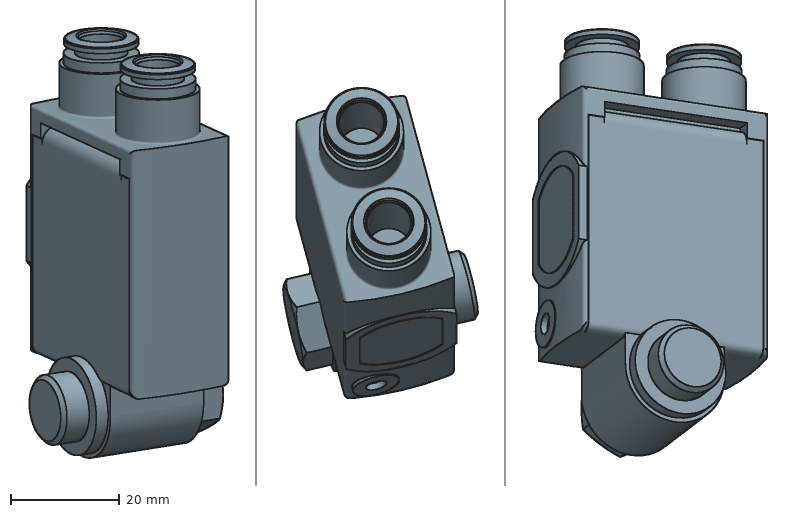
import cadquery as cq
import math

TOTAL_HEIGHT = 76.75

BODY_THICKNESS = 21.0
BODY_HALF_WIDTH = 19.5
BODY_CORNER_X = 18.6
BODY_BOTTOM = 15.4
BODY_TOP = 63.1
UPPER_RADIUS = 0.8
BOTTOM_RADIUS = 1.5
FRONT_Y = -BODY_THICKNESS / 2

LABEL_HALF_WIDTH = 17.65
LABEL_TOP = 57.5
LABEL_DEPTH = 0.2

SLOT_LENGTH = 28.7
SLOT_TOP = 60.5
LIP_TOP = 59.55
LIP_RADIUS = 3.1

FITTING_SPACING = 20.6
BARREL_DIAMETER = 15.5
FOOT_RADIUS = 0.4
BARREL_TOP = 71.5
COLLAR_DIAMETER = 14.0
COLLAR_TOP = 73.45
NECK_DIAMETER = 9.8
FLANGE_BOTTOM = 75.2
FLANGE_DIAMETER = 13.8
FLANGE_CROWN = 0.4
FLANGE_BEVEL = 0.2
BORE_DIAMETER = 8.2
MOUTH_DIAMETER = 8.6
MOUTH_CHAMFER = 0.3
MOUTH_DEPTH = 0.85

BOSS_FACE_X = -19.65
BOSS_ROOT_X = -17.95
LARGE_BOSS_DIAMETER = 25.5
LARGE_BOSS_Z = 40.1
PANEL_DIAMETER = 20.0
PANEL_WIDTH = 15.7
PANEL_DEPTH = 0.15
SMALL_BOSS_DIAMETER = 8.8
SMALL_BOSS_Y = 4.75
SMALL_BOSS_Z = 21.2
SMALL_HOLE_DIAMETER = 3.9
SMALL_HOLE_DEPTH = 1.3

LUG_RADIUS = 10.0
LUG_HALF_THICKNESS = 10.0
WASHER_DIAMETER = 18.3
WASHER_Y = -12.5
PIN_DIAMETER = 13.1
PIN_END_Y = -18.1
PIN_CHAMFER = 0.85
HEX_ACROSS_FLATS = 15.1
HEX_END_Y = 15.65
HEX_CROWN_DIAMETER = 15.0
HEX_CROWN_ANGLE = 30.0

EMBED = 1.5
CLEARANCE = 3.8


def cylinder_along_x(diameter, x_start, x_end, y, z):
    profile = cq.Workplane("YZ", origin=(x_start, y, z)).circle(diameter / 2)
    return profile.extrude(x_end - x_start)


def cylinder_along_y(diameter, y_start, y_end):
    profile = cq.Workplane("XZ", origin=(0, y_start, LUG_RADIUS)).circle(diameter / 2)
    return profile.extrude(y_start - y_end)


def make_body():
    """Bowed plan outline intersected with the rounded side outline."""
    height = BODY_TOP - BODY_BOTTOM
    back_y = -FRONT_Y
    plan = (
        cq.Workplane("XY", origin=(0, 0, BODY_BOTTOM))
        .moveTo(-BODY_CORNER_X, FRONT_Y)
        .lineTo(BODY_CORNER_X, FRONT_Y)
        .threePointArc((BODY_HALF_WIDTH, 0), (BODY_CORNER_X, back_y))
        .lineTo(-BODY_CORNER_X, back_y)
        .threePointArc((-BODY_HALF_WIDTH, 0), (-BODY_CORNER_X, FRONT_Y))
        .close()
        .extrude(height)
        .edges("|Z").fillet(UPPER_RADIUS)
    )
    side = (
        cq.Workplane("XY", origin=(0, 0, BODY_BOTTOM))
        .box(2 * BODY_HALF_WIDTH + CLEARANCE, BODY_THICKNESS, height, centered=(True, True, False))
        .edges("|X and >Z").fillet(UPPER_RADIUS)
        .edges("|X and <Z").fillet(BOTTOM_RADIUS)
    )
    return plan.intersect(side)


def make_large_boss():
    """Round pad cut flush with the front and back faces, with a shallow panel."""
    def flat_sided_disc(diameter, width, x_start, x_end):
        disc = cylinder_along_x(diameter, x_start, x_end, 0, LARGE_BOSS_Z)
        slab = cq.Workplane("XY", origin=(0, 0, LARGE_BOSS_Z)).box(TOTAL_HEIGHT, width, diameter)
        return disc.intersect(slab)

    pad = flat_sided_disc(LARGE_BOSS_DIAMETER, BODY_THICKNESS, BOSS_FACE_X, BOSS_ROOT_X)
    panel = flat_sided_disc(PANEL_DIAMETER, PANEL_WIDTH, BOSS_FACE_X, BOSS_FACE_X + PANEL_DEPTH)
    return pad.cut(panel)


def make_small_boss():
    return cylinder_along_x(SMALL_BOSS_DIAMETER, BOSS_FACE_X, BOSS_ROOT_X, SMALL_BOSS_Y, SMALL_BOSS_Z)


def make_small_hole():
    hole_end = BOSS_FACE_X + SMALL_HOLE_DEPTH
    return cylinder_along_x(SMALL_HOLE_DIAMETER, BOSS_FACE_X, hole_end, SMALL_BOSS_Y, SMALL_BOSS_Z)


def make_label_recess():
    """Cutter that keeps the rounded bottom edge, offset inward by the label depth."""
    floor_y = FRONT_Y + LABEL_DEPTH
    arc_center_y = floor_y + BOTTOM_RADIUS
    arc_center_z = BODY_BOTTOM + BOTTOM_RADIUS
    arc_reach = BOTTOM_RADIUS * math.sqrt(0.5)
    return (
        cq.Workplane("YZ")
        .moveTo(FRONT_Y - CLEARANCE, LABEL_TOP)
        .lineTo(floor_y, LABEL_TOP)
        .lineTo(floor_y, arc_center_z)
        .threePointArc((arc_center_y - arc_reach, arc_center_z - arc_reach), (arc_center_y, BODY_BOTTOM))
        .lineTo(FRONT_Y - CLEARANCE, BODY_BOTTOM)
        .close()
        .extrude(LABEL_HALF_WIDTH, both=True)
    )


def make_finger_slot():
    """Slot above a convex quarter-round lip that runs out into the label face."""
    face_y = FRONT_Y + LABEL_DEPTH
    back_y = face_y + LIP_RADIUS
    lip_bottom = LIP_TOP - LIP_RADIUS
    arc_reach = LIP_RADIUS * math.sqrt(0.5)
    return (
        cq.Workplane("YZ")
        .moveTo(FRONT_Y - CLEARANCE, SLOT_TOP)
        .lineTo(back_y, SLOT_TOP)
        .lineTo(back_y, LIP_TOP)
        .threePointArc((back_y - arc_reach, lip_bottom + arc_reach), (face_y, lip_bottom))
        .lineTo(FRONT_Y - CLEARANCE, lip_bottom)
        .close()
        .extrude(SLOT_LENGTH / 2, both=True)
    )


def make_fitting(x):
    """Stepped ring revolved about a vertical axis; the bore ends at the body top."""
    barrel_radius = BARREL_DIAMETER / 2
    flange_radius = FLANGE_DIAMETER / 2
    bore_radius = BORE_DIAMETER / 2
    rim_top = TOTAL_HEIGHT - FLANGE_CROWN
    mouth_radius = MOUTH_DIAMETER / 2
    foot_outer = barrel_radius + FOOT_RADIUS
    foot_top = BODY_TOP + FOOT_RADIUS
    arc_reach = FOOT_RADIUS * math.sqrt(0.5)
    ring = (
        cq.Workplane("XZ")
        .moveTo(0, BODY_TOP - EMBED)
        .lineTo(foot_outer, BODY_TOP - EMBED)
        .lineTo(foot_outer, BODY_TOP)
        .threePointArc((foot_outer - arc_reach, foot_top - arc_reach), (barrel_radius, foot_top))
        .lineTo(barrel_radius, BARREL_TOP)
        .lineTo(COLLAR_DIAMETER / 2, BARREL_TOP)
        .lineTo(COLLAR_DIAMETER / 2, COLLAR_TOP)
        .lineTo(NECK_DIAMETER / 2, COLLAR_TOP)
        .lineTo(NECK_DIAMETER / 2, FLANGE_BOTTOM)
        .lineTo(flange_radius, FLANGE_BOTTOM)
        .lineTo(flange_radius, rim_top - FLANGE_BEVEL)
        .lineTo(flange_radius - FLANGE_BEVEL, rim_top)
        .lineTo(mouth_radius + MOUTH_CHAMFER, TOTAL_HEIGHT)
        .lineTo(mouth_radius, TOTAL_HEIGHT - MOUTH_CHAMFER)
        .lineTo(bore_radius, TOTAL_HEIGHT - MOUTH_DEPTH)
        .lineTo(bore_radius, BODY_TOP)
        .lineTo(0, BODY_TOP)
        .close()
        .revolve(360, (0, 0, 0), (0, 1, 0))
    )
    return ring.translate((x, 0, 0))


def make_lug():
    thickness = 2 * LUG_HALF_THICKNESS
    eye = cylinder_along_y(2 * LUG_RADIUS, LUG_HALF_THICKNESS, -LUG_HALF_THICKNESS)
    neck_height = BODY_BOTTOM + EMBED - LUG_RADIUS
    neck = cq.Workplane("XY", origin=(0, 0, LUG_RADIUS)).box(
        2 * LUG_RADIUS, thickness, neck_height, centered=(True, True, False)
    )
    return eye.union(neck)


def make_bolt():
    """Washer and chamfered pin on the front, crowned hexagon head on the back."""
    washer = cylinder_along_y(WASHER_DIAMETER, -LUG_HALF_THICKNESS + EMBED, WASHER_Y)
    pin = cylinder_along_y(PIN_DIAMETER, WASHER_Y + EMBED, PIN_END_Y).faces("<Y").chamfer(PIN_CHAMFER)

    hex_start_y = LUG_HALF_THICKNESS - EMBED
    hex_length = HEX_END_Y - hex_start_y
    across_corners = HEX_ACROSS_FLATS / math.cos(math.radians(30))
    head = (
        cq.Workplane("XZ", origin=(0, HEX_END_Y, LUG_RADIUS))
        .transformed(rotate=(0, 0, 90))
        .polygon(6, across_corners)
        .extrude(hex_length)
    )
    crown_radius = HEX_CROWN_DIAMETER / 2
    cone_spread = hex_length / math.tan(math.radians(HEX_CROWN_ANGLE))
    crown = (
        cq.Workplane("XY")
        .polyline([
            (0, hex_start_y),
            (crown_radius + cone_spread, hex_start_y),
            (crown_radius, HEX_END_Y),
            (0, HEX_END_Y),
        ])
        .close()
        .revolve(360, (0, 0, 0), (0, 1, 0))
        .translate((0, 0, LUG_RADIUS))
    )
    return washer.union(pin).union(head.intersect(crown))


result = make_body().union(make_large_boss()).union(make_small_boss())
result = result.cut(make_small_hole())
result = result.cut(make_label_recess()).cut(make_finger_slot())
for side in (-1, 1):
    result = result.union(make_fitting(side * FITTING_SPACING / 2))
result = result.union(make_lug()).union(make_bolt())